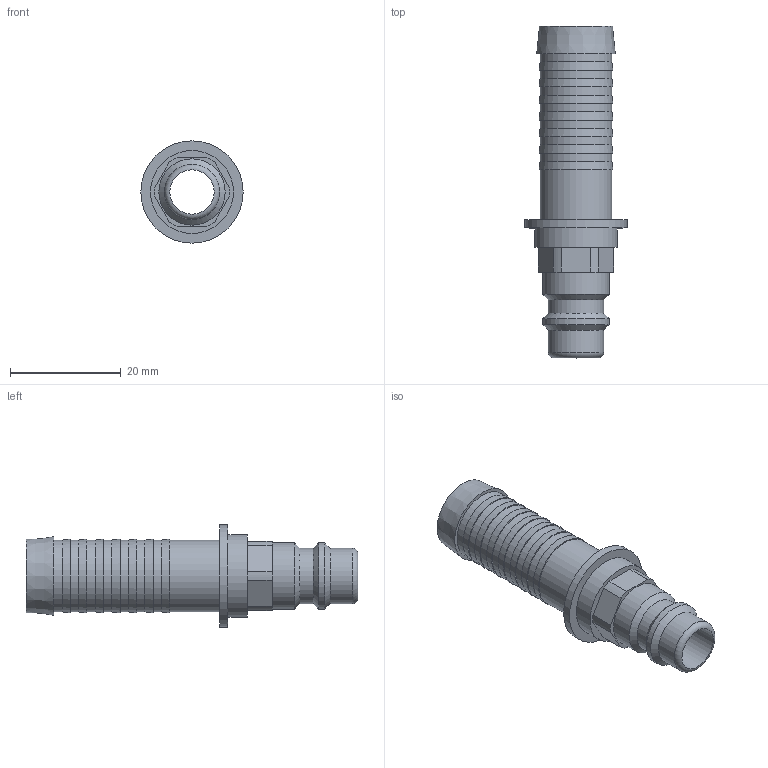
import cadquery as cq
import math

total_length = 60.0
bore_diameter = 8.0

plug_diameter = 10.0
plug_shoulder_diameter = 12.0
nose_radius = (plug_diameter - bore_diameter) / 2
slope_length = 1.0
locking_ring_start = 5.0
locking_ring_land = 1.1
plug_shoulder_start = 10.5
plug_shoulder_end = 15.5

hex_across_flats = 12.5
hex_half_angle = math.pi / 6
hex_across_corners = hex_across_flats / math.cos(hex_half_angle)
hex_corner_diameter = 13.6
hex_length = 4.5

collar_diameter = 15.0
collar_length = 3.5
flange_diameter = 18.5
flange_length = 1.5

tail_diameter = 13.0
ridge_diameter = 13.3
ridge_length = 1.5
ridge_pitch = 3.0
ridge_count = 7
barb_length = 5.0
barb_large_diameter = 14.2
barb_tip_diameter = 13.2

hex_end = plug_shoulder_end + hex_length
collar_end = hex_end + collar_length
flange_end = collar_end + flange_length
barb_start = total_length - barb_length


def cylinder(diameter, start, end):
    """Solid cylinder on the Y axis between two stations."""
    return cone(diameter, diameter, start, end)


def cone(start_diameter, end_diameter, start, end):
    """Solid frustum on the Y axis between two stations."""
    profile = [
        (0, start),
        (start_diameter / 2, start),
        (end_diameter / 2, end),
        (0, end),
    ]
    return cq.Workplane("XY").polyline(profile).close().revolve(360, (0, 0), (0, 1))


def make_plug():
    """Plug body with a rounded nose, a locking ring and a chamfered shoulder."""
    ring_land_start = locking_ring_start + slope_length
    ring_land_end = ring_land_start + locking_ring_land
    ring_end = ring_land_end + slope_length
    shoulder_land_start = plug_shoulder_start + slope_length

    body = cylinder(plug_diameter, 0, plug_shoulder_end).faces("<Y").edges().fillet(nose_radius)
    ring = (
        cone(plug_diameter, plug_shoulder_diameter, locking_ring_start, ring_land_start)
        .union(cylinder(plug_shoulder_diameter, ring_land_start, ring_land_end))
        .union(cone(plug_shoulder_diameter, plug_diameter, ring_land_end, ring_end))
    )
    shoulder = cone(
        plug_diameter, plug_shoulder_diameter, plug_shoulder_start, shoulder_land_start
    ).union(cylinder(plug_shoulder_diameter, shoulder_land_start, plug_shoulder_end))
    return body.union(ring).union(shoulder)


def make_hexagon():
    """Hexagon with flats facing +Z and -Z, its corners turned to a cylinder."""
    prism = (
        cq.Workplane("XZ", origin=(0, hex_end, 0))
        .polygon(6, hex_across_corners)
        .extrude(hex_length)
    )
    return prism.intersect(cylinder(hex_corner_diameter, plug_shoulder_end, hex_end))


def make_flange():
    """Collar behind the hexagon, followed by the wider hose stop."""
    collar = cylinder(collar_diameter, hex_end, collar_end)
    return collar.union(cylinder(flange_diameter, collar_end, flange_end))


def make_tail():
    """Hose tail with saw-tooth ridges and a tapered end barb."""
    tail = cylinder(tail_diameter, flange_end, total_length)
    for index in range(ridge_count):
        ridge_start = barb_start - (index + 1) * ridge_pitch
        ridge_end = ridge_start + ridge_length
        tail = tail.union(cone(ridge_diameter, tail_diameter, ridge_start, ridge_end))
    barb = cone(barb_large_diameter, barb_tip_diameter, barb_start, total_length)
    return tail.union(barb)


outer_body = make_plug().union(make_hexagon()).union(make_flange()).union(make_tail())
result = outer_body.cut(cylinder(bore_diameter, 0, total_length))